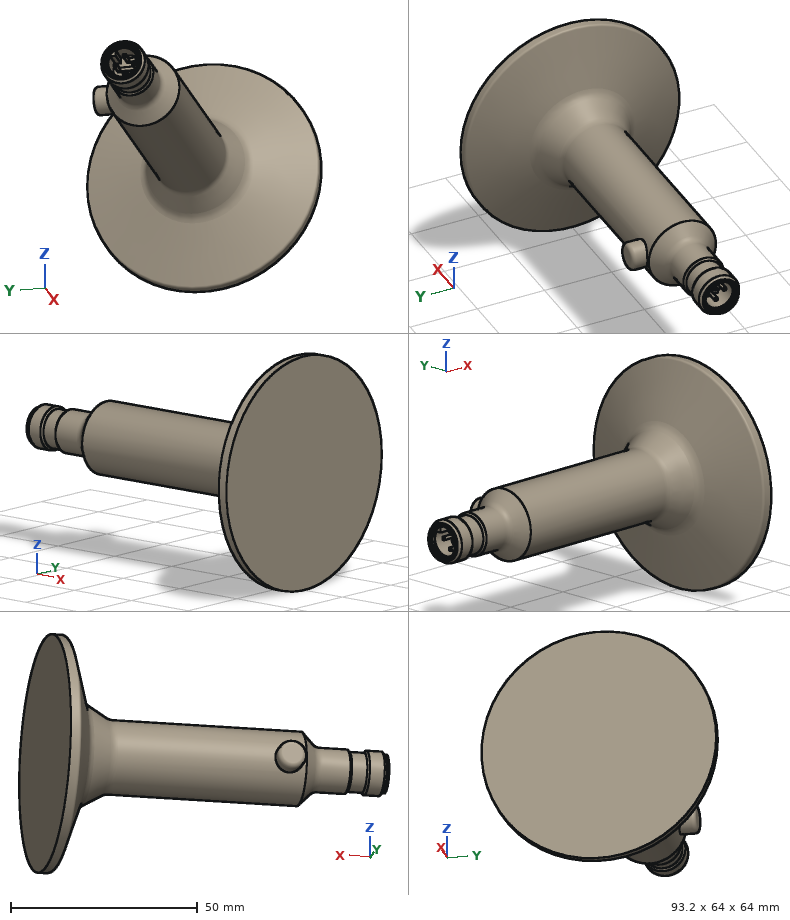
import cadquery as cq
import math

TOTAL_LENGTH = 93.2
FLANGE_DIAMETER = 64.0

TIP_DIAMETER = 10.4
TIP_LENGTH = 0.65
CONNECTOR_DIAMETER = 12.0
COLLAR_END = 5.5
GROOVE_DIAMETER = 10.8
GROOVE_END = 10.25

BODY_DIAMETER = 20.0
BODY_START = 23.7
SHOULDER_ANGLE = math.radians(45)
SHOULDER_FILLET = 3.0

BLEND_FILLET = 4.0
HUB_START = 76.4
HUB_ANGLE = math.radians(30)
DISH_ANGLE = math.radians(70)
RIM_WIDTH = 2.9
RIM_FILLET = 0.7

MOUTH_DIAMETER = 9.4
MOUTH_DEPTH = 0.65
THROAT_DIAMETER = 8.8
THROAT_DEPTH = 1.5
SOCKET_DIAMETER = 8.2
SOCKET_DEPTH = 7.5
PIN_DIAMETER = 1.0
PIN_TIP_DEPTH = 3.0
PIN_CIRCLE_RADIUS = 2.5
PIN_COUNT = 4
PIN_CHAMFER = 0.2

WEB_HEIGHT = 0.9
SIDE_WEB_LENGTH = 2.2
KEY_CORNER = 2.05

OVERLAP = 0.5

BUTTON_DIAMETER = 7.7
BUTTON_X = 28.4
BUTTON_TOP = 14.2
BUTTON_FILLET = 1.2


def x_cylinder(diameter, start, end, y=0.0, z=0.0):
    """Cylinder along X between two X positions."""
    plane = cq.Workplane("YZ", origin=(start, y, z))
    return plane.circle(diameter / 2).extrude(end - start)


def corner_fillet(profile, corner, angle_in, angle_out, radius):
    """Run the profile up to a corner and round it, between two slopes measured from X."""
    reach = radius * math.tan(abs(angle_out - angle_in) / 2)
    middle = (angle_in + angle_out) / 2
    corner_to_arc = radius / math.cos((angle_out - angle_in) / 2) - radius
    side = math.copysign(1, angle_out - angle_in)
    begin = (corner[0] - reach * math.cos(angle_in), corner[1] - reach * math.sin(angle_in))
    crown = (
        corner[0] - side * corner_to_arc * math.sin(middle),
        corner[1] + side * corner_to_arc * math.cos(middle),
    )
    finish = (corner[0] + reach * math.cos(angle_out), corner[1] + reach * math.sin(angle_out))
    return profile.lineTo(*begin).threePointArc(crown, finish)


def turned_body():
    """Solid of revolution about X: connector, tube, hub cone and flange."""
    tip_radius = TIP_DIAMETER / 2
    connector_radius = CONNECTOR_DIAMETER / 2
    groove_radius = GROOVE_DIAMETER / 2
    groove_chamfer = connector_radius - groove_radius
    body_radius = BODY_DIAMETER / 2
    flange_radius = FLANGE_DIAMETER / 2

    shoulder_start = BODY_START - (body_radius - connector_radius) / math.tan(SHOULDER_ANGLE)
    rim_start = TOTAL_LENGTH - RIM_WIDTH

    hub_slope = math.tan(HUB_ANGLE)
    dish_slope = math.tan(DISH_ANGLE)
    dish_rise = flange_radius - body_radius
    dish_start = (dish_slope * rim_start - hub_slope * HUB_START - dish_rise) / (dish_slope - hub_slope)
    dish_radius = body_radius + (dish_start - HUB_START) * hub_slope

    profile = (
        cq.Workplane("XY")
        .lineTo(0, tip_radius)
        .lineTo(TIP_LENGTH, tip_radius)
        .lineTo(TIP_LENGTH + connector_radius - tip_radius, connector_radius)
        .lineTo(COLLAR_END, connector_radius)
        .lineTo(COLLAR_END + groove_chamfer, groove_radius)
        .lineTo(GROOVE_END, groove_radius)
        .lineTo(GROOVE_END + groove_chamfer, connector_radius)
    )
    profile = corner_fillet(
        profile, (shoulder_start, connector_radius), 0, SHOULDER_ANGLE, SHOULDER_FILLET
    )
    profile = profile.lineTo(BODY_START, body_radius)
    profile = corner_fillet(profile, (HUB_START, body_radius), 0, HUB_ANGLE, BLEND_FILLET)
    profile = corner_fillet(profile, (dish_start, dish_radius), HUB_ANGLE, DISH_ANGLE, BLEND_FILLET)
    profile = corner_fillet(profile, (rim_start, flange_radius), DISH_ANGLE, 0, RIM_FILLET)
    profile = profile.lineTo(TOTAL_LENGTH, flange_radius).lineTo(TOTAL_LENGTH, 0).close()
    return profile.revolve(360, (0, 0, 0), (1, 0, 0))


def side_button():
    """Round button standing on the tube, with a rounded top edge."""
    button = cq.Workplane("XZ", origin=(BUTTON_X, 0, 0)).circle(BUTTON_DIAMETER / 2).extrude(-BUTTON_TOP)
    return button.faces(">Y").edges().fillet(BUTTON_FILLET)


def socket():
    """Stepped blind bore in the connector face."""
    mouth = x_cylinder(MOUTH_DIAMETER, 0, MOUTH_DEPTH)
    throat = x_cylinder(THROAT_DIAMETER, 0, THROAT_DEPTH)
    return mouth.union(throat).union(x_cylinder(SOCKET_DIAMETER, 0, SOCKET_DEPTH))


def contact_pins(part):
    """Add the contact pins standing on the socket floor."""
    for index in range(PIN_COUNT):
        angle = 2 * math.pi * index / PIN_COUNT
        y = PIN_CIRCLE_RADIUS * math.cos(angle)
        z = PIN_CIRCLE_RADIUS * math.sin(angle)
        pin = x_cylinder(PIN_DIAMETER, PIN_TIP_DEPTH, SOCKET_DEPTH + OVERLAP, y, z)
        part = part.union(pin.faces("<X").edges().chamfer(PIN_CHAMFER))
    return part


def floor_web(y_start, y_end, z):
    """Low bar on the socket floor, running along Y and as wide as a pin."""
    depth = WEB_HEIGHT + OVERLAP
    web = cq.Workplane("XY").box(depth, y_end - y_start, PIN_DIAMETER, centered=(False, False, True))
    return web.translate((SOCKET_DEPTH - WEB_HEIGHT, y_start, z))


def floor_webs(part):
    """Join the two level pins by a bar, and run a bar from the top and bottom pins towards -Y."""
    part = part.union(floor_web(-PIN_CIRCLE_RADIUS, PIN_CIRCLE_RADIUS, 0))
    for z in (-PIN_CIRCLE_RADIUS, PIN_CIRCLE_RADIUS):
        part = part.union(floor_web(-SIDE_WEB_LENGTH, 0, z))
    return part


def coding_key():
    """Square-cornered key along the socket wall, between the +Y and +Z pins."""
    length = SOCKET_DEPTH - THROAT_DEPTH
    corner = cq.Workplane("XY").box(length, SOCKET_DIAMETER, SOCKET_DIAMETER, centered=False)
    corner = corner.translate((THROAT_DEPTH, KEY_CORNER, KEY_CORNER))
    return corner.intersect(x_cylinder(SOCKET_DIAMETER + OVERLAP, THROAT_DEPTH, SOCKET_DEPTH))


result = turned_body().union(side_button()).cut(socket())
result = floor_webs(contact_pins(result)).union(coding_key())